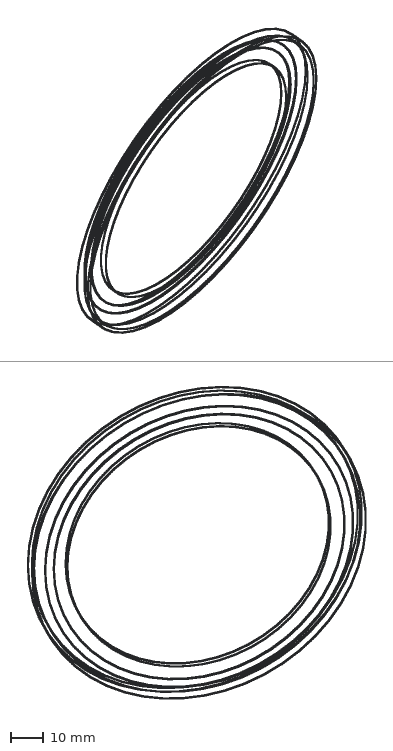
import cadquery as cq

outer_radius = 54.0
bore_radius = 42.5
total_thickness = 5.8
bead_height = 1.4
rim_thickness = total_thickness - bead_height

web_thickness = 1.9
rim_wall = 1.3
recess_radius = outer_radius - rim_wall

bore_face_rise = 0.08

bead_center_radius = 48.4
bead_half_width = 1.4
bead_flank = 0.3
bead_inner_radius = bead_center_radius - bead_half_width
bead_outer_radius = bead_center_radius + bead_half_width


def make_section():
    """Cross-section in (X, radius), drawn from the bore outward and back along the +X side."""
    return (
        cq.Workplane("XY")
        .moveTo(-bore_face_rise, bore_radius)
        .lineTo(0, bead_inner_radius)
        .lineTo(-bead_flank, bead_inner_radius)
        .threePointArc((-bead_height, bead_center_radius), (-bead_flank, bead_outer_radius))
        .lineTo(0, bead_outer_radius)
        .lineTo(0, outer_radius)
        .lineTo(rim_thickness, outer_radius)
        .lineTo(rim_thickness, recess_radius)
        .lineTo(web_thickness, recess_radius)
        .lineTo(web_thickness, bore_radius)
        .close()
    )


result = make_section().revolve(360, (0, 0, 0), (1, 0, 0))